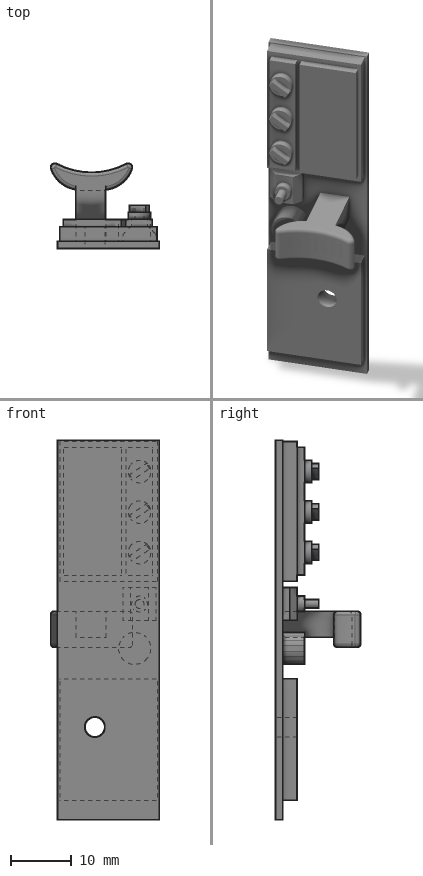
import cadquery as cq
import math


PLATE_WIDTH = 16.75
PLATE_HEIGHT = 62.4
PLATE_THICKNESS = 1.25

BLOCK_SIDE_MARGIN = 0.38
BLOCK_BACK = 3.6
UPPER_BLOCK_BOTTOM = 39.2
UPPER_BLOCK_TOP = PLATE_HEIGHT - 0.2
LOWER_BLOCK_BOTTOM = 3.2
LOWER_BLOCK_TOP = 23.2

COVER_LEFT = 0.95
COVER_RIGHT = 15.6
COVER_BACK = 4.8
COVER_BOTTOM = 40.2
COVER_TOP = 61.25
COVER_SLOT_LEFT = 10.5
COVER_SLOT_RIGHT = 11.25

HOLE_DIAMETER = 3.25
HOLE_X = 6.15
HOLE_Z = 15.25

KNOB_X = 13.45
KNOB_TOP_Z = 57.25
KNOB_PITCH = 6.65
KNOB_COUNT = 3
COLLAR_DIAMETER = 3.7
COLLAR_BACK = 6.0
GRIP_LENGTH = 3.3
GRIP_WIDTH = 1.0
GRIP_TILT = 34
GRIP_BACK = 7.15

PIN_X = KNOB_X
PIN_Z = 35.5
PIN_BLOCK_SIZE = 5.4
PIN_BLOCK_BEVEL_START = 2.4
PIN_BLOCK_BEVEL_ANGLE = 45
PIN_COLLAR_DIAMETER = 2.6
PIN_DIAMETER = 1.45
PIN_BACK = GRIP_BACK

WHEEL_X = 12.65
WHEEL_Z = 28.2
WHEEL_RADIUS = 2.65
WHEEL_LANDS = 9
WHEEL_LAND_ANGLE = 18

STEM_LEFT = 3.0
STEM_WIDTH = 4.9
STEM_BOTTOM = 30.0
LEVER_TOP = 34.3
HEAD_BOTTOM = 28.35
HEAD_X = 5.6
HEAD_WIDTH = 13.44
HEAD_BACK = 14.03
HEAD_OUTER_Y = 9.6
HEAD_FLAT_WIDTH = 3.4
HEAD_INNER_Y = 12.55
HEAD_TIP_RADIUS = 0.7
HEAD_FILLET = 0.6


def box_between(left, right, front, back, bottom, top):
    """Box given by its limits along X, Y and Z."""
    return cq.Workplane("XY").box(
        right - left, back - front, top - bottom, centered=False
    ).translate((left, front, bottom))


def back_facing_plane(x, y, z):
    """Sketch plane at a point, extruding towards +Y, with sketch up along +Z."""
    return cq.Workplane(cq.Plane(origin=(x, y, z), xDir=(-1, 0, 0), normal=(0, 1, 0)))


def disc(x, z, diameter, front, back):
    """Cylinder along Y."""
    return back_facing_plane(x, front, z).circle(diameter / 2).extrude(back - front)


def make_plate():
    return box_between(0, PLATE_WIDTH, 0, PLATE_THICKNESS, 0, PLATE_HEIGHT)


def make_block(bottom, top):
    right = PLATE_WIDTH - BLOCK_SIDE_MARGIN
    return box_between(BLOCK_SIDE_MARGIN, right, PLATE_THICKNESS, BLOCK_BACK, bottom, top)


def make_cover():
    cover = box_between(COVER_LEFT, COVER_RIGHT, BLOCK_BACK, COVER_BACK, COVER_BOTTOM, COVER_TOP)
    slot = box_between(
        COVER_SLOT_LEFT, COVER_SLOT_RIGHT, BLOCK_BACK, COVER_BACK, COVER_BOTTOM, COVER_TOP
    )
    return cover.cut(slot)


def make_knob(z):
    collar = disc(KNOB_X, z, COLLAR_DIAMETER, COVER_BACK, COLLAR_BACK)
    grip = (
        back_facing_plane(KNOB_X, COLLAR_BACK, z)
        .transformed(rotate=(0, 0, -GRIP_TILT))
        .rect(GRIP_LENGTH, GRIP_WIDTH)
        .extrude(GRIP_BACK - COLLAR_BACK)
    )
    return collar.union(grip)


def make_pin_block():
    half_size = PIN_BLOCK_SIZE / 2
    bevel_run = (BLOCK_BACK - PIN_BLOCK_BEVEL_START) * math.tan(math.radians(PIN_BLOCK_BEVEL_ANGLE))
    half_back = half_size - bevel_run
    block = (
        cq.Workplane("XY", origin=(PIN_X, 0, PIN_Z - half_size))
        .moveTo(-half_size, PLATE_THICKNESS)
        .lineTo(half_size, PLATE_THICKNESS)
        .lineTo(half_size, PIN_BLOCK_BEVEL_START)
        .lineTo(half_back, BLOCK_BACK)
        .lineTo(-half_back, BLOCK_BACK)
        .lineTo(-half_size, PIN_BLOCK_BEVEL_START)
        .close()
        .extrude(PIN_BLOCK_SIZE)
    )
    collar = disc(PIN_X, PIN_Z, PIN_COLLAR_DIAMETER, BLOCK_BACK, COVER_BACK)
    pin = disc(PIN_X, PIN_Z, PIN_DIAMETER, COVER_BACK, PIN_BACK)
    return block.union(collar).union(pin)


def wheel_point(degrees):
    angle = math.radians(degrees)
    return WHEEL_RADIUS * math.cos(angle), WHEEL_RADIUS * math.sin(angle)


def make_wheel():
    """Disc whose rim alternates round lands and flats; one land points to -X."""
    half_land = WHEEL_LAND_ANGLE / 2
    outline = back_facing_plane(WHEEL_X, PLATE_THICKNESS, WHEEL_Z).moveTo(*wheel_point(-half_land))
    for index in range(WHEEL_LANDS):
        middle = index * 360 / WHEEL_LANDS
        if index > 0:
            outline = outline.lineTo(*wheel_point(middle - half_land))
        outline = outline.threePointArc(wheel_point(middle), wheel_point(middle + half_land))
    return outline.close().extrude(COVER_BACK - PLATE_THICKNESS)


def make_head():
    """Crescent: flat base, an outer arc on each side, round tips and one inner arc, all tangent."""
    corner_x = HEAD_FLAT_WIDTH / 2
    tip_x = HEAD_WIDTH / 2 - HEAD_TIP_RADIUS
    tip_y = HEAD_BACK - HEAD_TIP_RADIUS

    outer_run = tip_x - corner_x
    outer_rise = tip_y - HEAD_OUTER_Y
    outer_radius = (outer_run**2 + outer_rise**2 - HEAD_TIP_RADIUS**2) / (2 * (outer_rise - HEAD_TIP_RADIUS))
    outer_center_y = HEAD_OUTER_Y + outer_radius
    start_angle = -math.pi / 2
    end_angle = math.atan2(tip_y - outer_center_y, outer_run)
    middle_angle = (start_angle + end_angle) / 2
    outer_mid_x = corner_x + outer_radius * math.cos(middle_angle)
    outer_mid_y = outer_center_y + outer_radius * math.sin(middle_angle)
    outer_end_x = corner_x + outer_radius * math.cos(end_angle)
    outer_end_y = outer_center_y + outer_radius * math.sin(end_angle)

    inner_rise = tip_y - HEAD_INNER_Y
    inner_radius = (tip_x**2 + inner_rise**2 - HEAD_TIP_RADIUS**2) / (2 * (inner_rise + HEAD_TIP_RADIUS))
    inner_scale = inner_radius / (inner_radius + HEAD_TIP_RADIUS)
    inner_center_y = HEAD_INNER_Y + inner_radius
    inner_end_x = tip_x * inner_scale
    inner_end_y = inner_center_y + (tip_y - inner_center_y) * inner_scale

    tip_diagonal = HEAD_TIP_RADIUS * math.sqrt(0.5)
    tip_mid_x = tip_x + tip_diagonal
    tip_mid_y = tip_y + tip_diagonal
    return (
        cq.Workplane("XY", origin=(HEAD_X, 0, HEAD_BOTTOM))
        .moveTo(-corner_x, HEAD_OUTER_Y)
        .lineTo(corner_x, HEAD_OUTER_Y)
        .threePointArc((outer_mid_x, outer_mid_y), (outer_end_x, outer_end_y))
        .threePointArc((tip_mid_x, tip_mid_y), (inner_end_x, inner_end_y))
        .threePointArc((0, HEAD_INNER_Y), (-inner_end_x, inner_end_y))
        .threePointArc((-tip_mid_x, tip_mid_y), (-outer_end_x, outer_end_y))
        .threePointArc((-outer_mid_x, outer_mid_y), (-corner_x, HEAD_OUTER_Y))
        .close()
        .extrude(LEVER_TOP - HEAD_BOTTOM)
        .faces("<Z or >Z")
        .edges()
        .fillet(HEAD_FILLET)
    )


def make_lever():
    stem_back = (HEAD_OUTER_Y + HEAD_INNER_Y) / 2
    stem = box_between(
        STEM_LEFT, STEM_LEFT + STEM_WIDTH, PLATE_THICKNESS, stem_back, STEM_BOTTOM, LEVER_TOP
    )
    return stem.union(make_head())


def make_hole():
    return disc(HOLE_X, HOLE_Z, HOLE_DIAMETER, 0, BLOCK_BACK)


result = make_plate()
result = result.union(make_block(LOWER_BLOCK_BOTTOM, LOWER_BLOCK_TOP))
result = result.union(make_block(UPPER_BLOCK_BOTTOM, UPPER_BLOCK_TOP))
result = result.union(make_cover())
for knob_index in range(KNOB_COUNT):
    result = result.union(make_knob(KNOB_TOP_Z - knob_index * KNOB_PITCH))
result = result.union(make_pin_block())
result = result.union(make_wheel())
result = result.union(make_lever())
result = result.cut(make_hole())